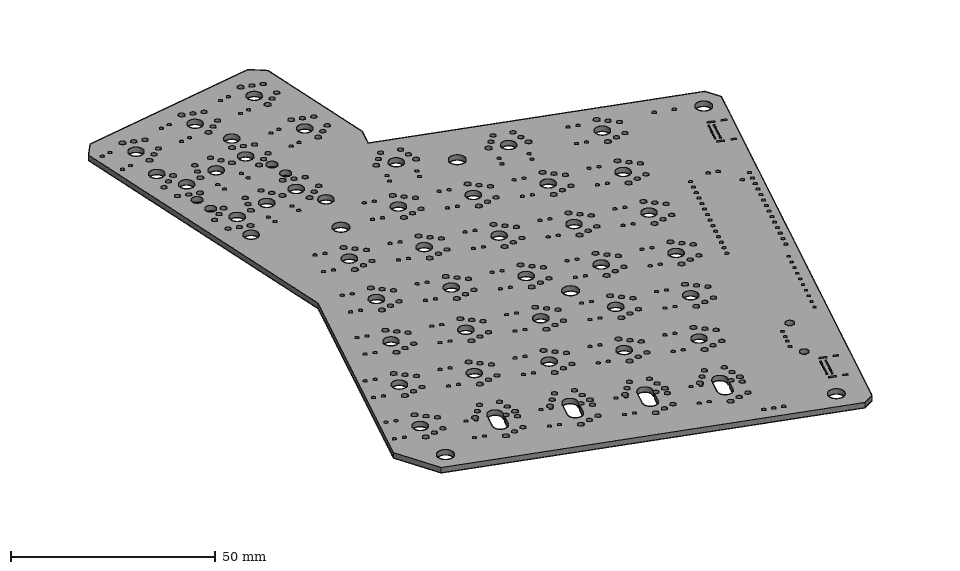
import cadquery as cq
import math


board_width = 182.8
board_height = 156.3
thickness = 1.6
key_pitch = 114.3 / 6
grid = key_pitch / 15
pin_pitch = 2 * grid

screw_dia = 4.4
switch_dia = 4.0
stabilizer_dia = 3.0
socket_post_dia = 2.4
outer_pin_dia = 1.7
contact_pin_dia = 1.5
header_dia = 1.1
lead_dia = 1.0
controller_dia = 0.99
socket_pin_dia = 1.0
expander_dia = 0.8
usb_contact_dia = 0.4

main_left = 39.3
main_bottom = 36.5
shoulder_y = 67.5
top_left_chamfer = 3.3
top_right_chamfer = 2.5
bottom_right_chamfer = 9.5

thumb_angle = 25.0
thumb_margin = 9.9
thumb_top = 2 * key_pitch + thumb_margin
thumb_chamfer = 3.5
cos_thumb = math.cos(math.radians(thumb_angle))
sin_thumb = math.sin(math.radians(thumb_angle))

thumb_x = thumb_margin * cos_thumb + (thumb_top - thumb_chamfer) * sin_thumb
thumb_y = (thumb_margin - thumb_chamfer) * sin_thumb + thumb_margin * cos_thumb


def place(x, y, angle, along, up):
    """Point at (along, up) in a frame at (x, y) turned by angle degrees."""
    turn = math.radians(angle)
    return (
        x + along * math.cos(turn) - up * math.sin(turn),
        y + along * math.sin(turn) + up * math.cos(turn),
    )


def thumb_point(along, up):
    return place(thumb_x, thumb_y, thumb_angle, along, up)


def thumb_edge_x(up, y):
    """Where the thumb edge at height `up` crosses the level y."""
    start_x, start_y = thumb_point(0, up)
    return start_x + (y - start_y) * cos_thumb / sin_thumb


def make_board():
    outline = [
        (main_left, shoulder_y),
        (main_left, board_height - top_left_chamfer),
        (main_left + top_left_chamfer, board_height),
        (board_width - top_right_chamfer, board_height),
        (board_width, board_height - top_right_chamfer),
        (board_width, main_bottom + bottom_right_chamfer),
        (board_width - bottom_right_chamfer, main_bottom),
        (thumb_edge_x(-thumb_margin, main_bottom), main_bottom),
        thumb_point(thumb_chamfer - thumb_margin, -thumb_margin),
        thumb_point(-thumb_margin, thumb_chamfer - thumb_margin),
        thumb_point(-thumb_margin, thumb_top - thumb_chamfer),
        thumb_point(thumb_chamfer - thumb_margin, thumb_top),
        (thumb_edge_x(thumb_top, shoulder_y), shoulder_y),
    ]
    return cq.Workplane("XY").polyline(outline).close().extrude(thickness)


def round_holes(points, diameter):
    return cq.Workplane("XY").pushPoints(points).circle(diameter / 2).extrude(thickness).vals()


def slots(points, length, width, angle):
    return cq.Workplane("XY").pushPoints(points).slot2D(length, width, angle).extrude(thickness).vals()


first_column_x = 49.4
bottom_row_y = 46.0
column_shift = [1.5, 1.5, 2.5, 3.75, 2.5, 0, 0]
wide_offset = key_pitch / 4


def main_key(column, row, angle=0):
    x = first_column_x + column * key_pitch
    y = bottom_row_y + column_shift[column] * grid + row * key_pitch
    return (x, y, angle)


def thumb_key(column, row, angle=0):
    return (*thumb_point(column * key_pitch, row * key_pitch), thumb_angle + angle)


wide_rows = [1, 2, 3, 4]
turned_keys = [main_key(6, row, 90) for row in wide_rows]
wide_keys = [(x + wide_offset, y, 0) for x, y, angle in turned_keys]
tall_thumb_keys = [thumb_key(column, 0.5, 90) for column in (1, 2)]

wired_keys = [main_key(0, 4), main_key(0, 2.75, 90), main_key(0, 1.25, 90), main_key(6, 0)]
wired_keys += [main_key(1, row) for row in (1, 2, 3, 4)]
wired_keys += [main_key(column, row) for column in (2, 3, 4, 5) for row in range(5)]
wired_keys += wide_keys + tall_thumb_keys
wired_keys += [thumb_key(0, 0), thumb_key(0, 1), thumb_key(0, 2), thumb_key(1, 2)]

plain_keys = list(turned_keys)
plain_keys += [thumb_key(column, 1) for column in (1, 2)]
plain_keys += [thumb_key(column, 0, 180) for column in (1, 2)]

all_keys = wired_keys + plain_keys
post_keys = [key for key in all_keys if key not in turned_keys + wide_keys]

outer_pins = [(-4, 0), (4, 0)]
contact_pins = [(-3, 2), (3, 2), (-2, 4), (2, 4)]
lead_holes = [(-3, -4), (3, -4), (-3, -6), (3, -6)]


def footprint(keys, steps):
    return [place(*key, along * grid, up * grid) for key in keys for along, up in steps]


def switch_holes():
    slot_centres = [(x + wide_offset / 2, y) for x, y, angle in turned_keys]
    return (
        round_holes(footprint(post_keys, [(0, 0)]), switch_dia)
        + round_holes(footprint(all_keys, outer_pins), outer_pin_dia)
        + round_holes(footprint(all_keys, contact_pins), contact_pin_dia)
        + round_holes(footprint(wired_keys, lead_holes), lead_dia)
        + slots(slot_centres, wide_offset + switch_dia, switch_dia, 0)
    )


stabilizer_reach = 12.0
stabilizer_large_offset = 8.2
stabilizer_small_offset = 7.0


def stabilizer_holes():
    large = []
    small = []
    for (x, y, angle), facing in zip(tall_thumb_keys, (1, -1)):
        for reach in (-stabilizer_reach, stabilizer_reach):
            large.append(place(x, y, angle, reach, facing * stabilizer_large_offset))
            small.append(place(x, y, angle, reach, -facing * stabilizer_small_offset))
    return round_holes(large, switch_dia) + round_holes(small, stabilizer_dia)


screw_holes = [(45.5, 151.0), (177.2, 148.1), (52.3, 86.5), (115.7, 97.6), (73.5, 51.0), (177.5, 48.6)]


controller_x = 77.0
controller_bottom_y = 139.0
controller_row_gap = 15.0
controller_pins = 14
expander_x = 115.4
expander_y = 153.2
expander_pins = 10
expander_pitch = 23.4 / (expander_pins - 1)
side_header_x = 179.2
side_header_y = 129.0
left_header_x = 45.0
left_header_y = 138.6
end_header_y = 144.0


def pin_row(x, y, count, step_x, step_y):
    return [(x + i * step_x, y + i * step_y) for i in range(count)]


def header_holes():
    top_y = controller_bottom_y + controller_row_gap
    controller = []
    for y in (controller_bottom_y, top_y):
        controller += pin_row(controller_x, y, controller_pins, pin_pitch, 0)
    expander = pin_row(expander_x, expander_y, expander_pins, expander_pitch, 0)
    headers = pin_row(controller_x - pin_pitch, end_header_y, 2, 0, pin_pitch)
    headers += [(controller_x + pin_pitch, top_y - pin_pitch)]
    headers += pin_row(side_header_x, side_header_y, 3, 0, pin_pitch)
    headers += pin_row(left_header_x, left_header_y, 2, 0, 2 * pin_pitch)
    return (
        round_holes(controller, controller_dia)
        + round_holes(expander, expander_dia)
        + round_holes(headers, header_dia)
    )


socket_x = 150.5
socket_pin_y = 142.8
socket_post_y = 145.5
socket_post_reach = 6.5
socket_pin_reaches = [1.0, 3.5]


def socket_holes():
    posts = [(socket_x + side * socket_post_reach, socket_post_y) for side in (-1, 1)]
    pins = [(socket_x + side * reach, socket_pin_y) for side in (-1, 1) for reach in socket_pin_reaches]
    return round_holes(posts, socket_post_dia) + round_holes(pins, socket_pin_dia)


usb_connectors = [(57.2, 150.8), (165.3, 149.2)]
usb_slot_width = 0.6
usb_long_slot = 2.0
usb_short_slot = 1.4
usb_slot_reach = 4.4
usb_slot_gap = 3.3
usb_contact_pitch = 0.85
usb_contacts = 8
usb_row_offsets = [-0.99, 0.4]


def usb_holes(x, y):
    sides = (x - usb_slot_reach, x + usb_slot_reach)
    row_start = x - usb_contact_pitch * (usb_contacts - 1) / 2
    contacts = []
    for offset in usb_row_offsets:
        contacts += pin_row(row_start, y + offset, usb_contacts, usb_contact_pitch, 0)
    return (
        slots([(side, y) for side in sides], usb_long_slot, usb_slot_width, 90)
        + slots([(side, y + usb_slot_gap) for side in sides], usb_short_slot, usb_slot_width, 90)
        + round_holes(contacts, usb_contact_dia)
    )


openings = switch_holes() + stabilizer_holes() + header_holes() + socket_holes()
openings += round_holes(screw_holes, screw_dia)
for usb_x, usb_y in usb_connectors:
    openings += usb_holes(usb_x, usb_y)

result = cq.Workplane("XY").newObject([make_board().val().cut(*openings)])